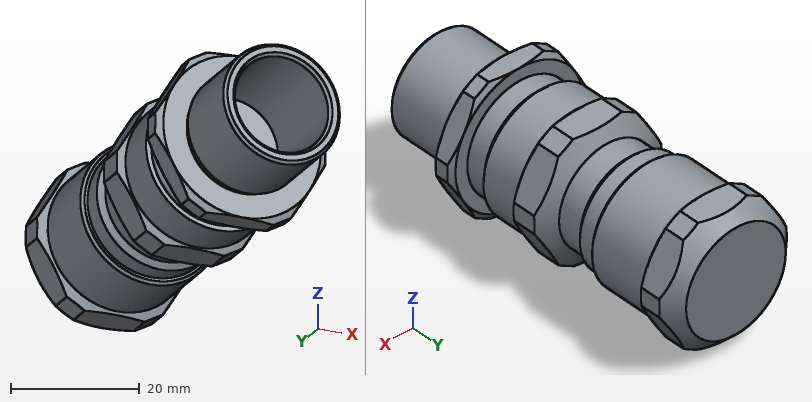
import cadquery as cq
import math


AXIS_START = (0, 0, 0)
AXIS_END = (0, 1, 0)

thread_radius = 20.0 / 2
thread_chamfer = 0.5
thread_length = 14.0
relief_radius = thread_radius - thread_chamfer
bore_radius = 16.0 / 2
bore_chamfer = 0.5

hex_turn = 0.4
corner_offset = 30
flange_flats = 27.0
flange_corners = 29.176
nut_flats = 25.0
nut_corners = 26.8
shallow_slope = math.tan(math.radians(30))
steep_slope = math.tan(math.radians(45))

spigot_radius = 22.0 / 2
ring_radius = 22.9 / 2
ring_section_radius = 0.9
body_radius = 24.5 / 2
neck_radius = 20.0 / 2
collar_radius = 22.0 / 2
sleeve_radius = 24.0 / 2
sleeve_chamfer = 0.5
end_face_radius = 21.0 / 2

flange_start = 15.0
flange_end = flange_start + 4.0
bore_depth = flange_end
ring_start = 22.9
body_start = 24.05
middle_nut_start = 31.6
middle_nut_end = 39.0
collar_start = 43.85
sleeve_start = 48.25
total_length = 68.75
end_nut_start = total_length - 8.0


def turn(outline):
    """Close an open outline that starts and ends on the axis and revolve it."""
    return outline.close().revolve(360, AXIS_START, AXIS_END)


def turned_core():
    """All round sections from the thread to the end nut, as one turned bar."""
    ring_center_radius = ring_radius - ring_section_radius
    ring_drop = math.sqrt(ring_section_radius**2 - (spigot_radius - ring_center_radius) ** 2)
    ring_center = ring_start + ring_drop
    ring_end_rise = body_start - ring_center
    ring_end_radius = ring_center_radius + math.sqrt(ring_section_radius**2 - ring_end_rise**2)
    outline = (
        cq.Workplane("XY")
        .lineTo(thread_radius - thread_chamfer, 0)
        .lineTo(thread_radius, thread_chamfer)
        .lineTo(thread_radius, thread_length - thread_chamfer)
        .lineTo(relief_radius, thread_length)
        .lineTo(relief_radius, flange_start)
        .lineTo(spigot_radius, flange_start)
        .lineTo(spigot_radius, ring_start)
        .threePointArc((ring_radius, ring_center), (ring_end_radius, body_start))
        .lineTo(body_radius, body_start)
        .lineTo(body_radius, middle_nut_start)
        .lineTo(neck_radius, middle_nut_start)
        .lineTo(neck_radius, collar_start)
        .lineTo(collar_radius, collar_start + collar_radius - neck_radius)
        .lineTo(collar_radius, sleeve_start)
        .lineTo(sleeve_radius - sleeve_chamfer, sleeve_start)
        .lineTo(sleeve_radius, sleeve_start + sleeve_chamfer)
        .lineTo(sleeve_radius, end_nut_start)
        .lineTo(0, end_nut_start)
    )
    return turn(outline)


def hexagon(flats, corners, start, end, start_face, start_slope, end_face, end_slope):
    """Hexagon with flats cut on its corners and a cone turned on each end.

    The faces are given by radius, the cones by their rise along Y per unit of radius.
    """
    plane = cq.Workplane("XZ", origin=(0, start, 0))
    prism = plane.polygon(6, flats, circumscribed=True).extrude(start - end)
    prism = prism.rotate(AXIS_START, AXIS_END, corner_offset)
    corner_cut = plane.polygon(6, corners, circumscribed=True).extrude(start - end)

    outer_radius = corners / 2 / math.cos(math.radians(corner_offset))
    cones = turn(
        cq.Workplane("XY")
        .moveTo(0, start)
        .lineTo(start_face, start)
        .lineTo(outer_radius, start + (outer_radius - start_face) * start_slope)
        .lineTo(outer_radius, end - (outer_radius - end_face) * end_slope)
        .lineTo(end_face, end)
        .lineTo(0, end)
    )
    return prism.intersect(corner_cut).intersect(cones).rotate(AXIS_START, AXIS_END, hex_turn)


def flange():
    face_radius = flange_flats / 2
    return hexagon(
        flange_flats, flange_corners, flange_start, flange_end,
        face_radius, shallow_slope, face_radius, shallow_slope,
    )


def middle_nut():
    return hexagon(
        nut_flats, nut_corners, middle_nut_start, middle_nut_end,
        body_radius, shallow_slope, neck_radius, shallow_slope,
    )


def end_nut():
    return hexagon(
        nut_flats, nut_corners, end_nut_start, total_length,
        sleeve_radius, shallow_slope, end_face_radius, steep_slope,
    )


def bore():
    """Blind bore with a chamfered mouth."""
    outline = (
        cq.Workplane("XY")
        .lineTo(bore_radius + bore_chamfer, 0)
        .lineTo(bore_radius, bore_chamfer)
        .lineTo(bore_radius, bore_depth)
        .lineTo(0, bore_depth)
    )
    return turn(outline)


result = turned_core().union(flange()).union(middle_nut()).union(end_nut()).cut(bore())